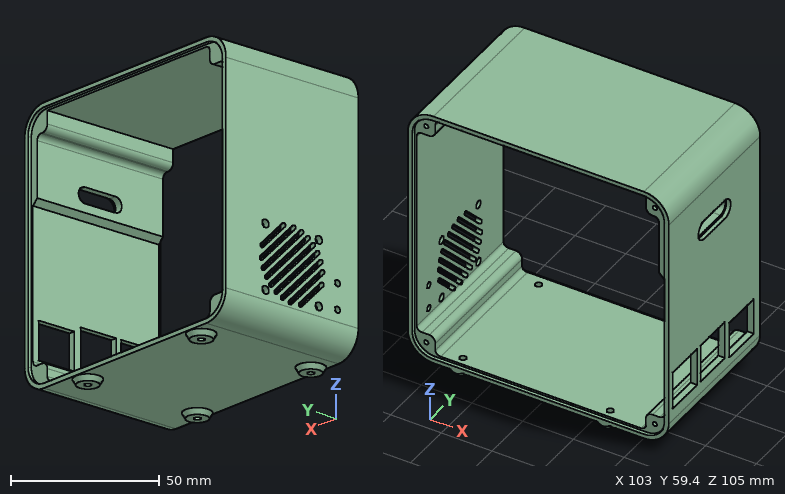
import cadquery as cq
import math

side = 103.0
depth = 59.4
corner_radius = 10.0
wall = 2.6
half = side / 2
front_y = -depth / 2
inner_half = half - wall

seat_inset = 1.8
seat_depth = 1.5

rail_size = 10.0
rail_round = 2.5
rail_root_round = 2.0
rail_edge = half - rail_size
rail_top_of_lower = rail_size
rail_bottom_of_upper = side - rail_size
screw_inset = 6.4
screw_diameter = 1.7
screw_depth = 10.0

band_thickness = 4.8
band_x = half - band_thickness
band_bottom = 68.0
band_slope = band_thickness - wall

socket_length = 19.3
socket_height = 5.9
socket_z = 76.5
socket_recess_depth = 1.7
socket_recess_margin = 0.8

fan_z = 25.5
fan_hole_spacing = 23.9
fan_hole_diameter = 2.9
grille_radius = 14.4
grille_pitch = 3.0
grille_slot_width = 1.5
grille_slot_count = 9
grille_angle = 45

side_hole_y = -20.4
side_hole_heights = (14.4, 23.9)
side_hole_diameter = 2.3

window_width = 15.9
windows = (
    (-19.2, 14.6, 15.0),
    (-1.2, 14.6, 15.0),
    (17.6, 13.0, 14.4),
)

foot_height = 2.0
foot_top_radius = 5.2
foot_bottom_radius = 4.1
foot_hole_diameter = 2.5
feet_x = (-32.5, 25.5)
feet_y = (-25.0, 24.2)


def bar(x0, x1, z0, z1, y0=front_y, length=depth):
    """Box between the given X and Z limits, running along +Y from y0."""
    return cq.Workplane("XY").box(x1 - x0, length, z1 - z0, centered=False).translate((x0, y0, z0))


def rounded_block(inset, length):
    """Rounded square block starting at the front, set in from the outer faces."""
    block = bar(-half + inset, half - inset, inset, side - inset, length=length)
    return block.edges("|Y").fillet(corner_radius - inset)


def round_along_y(solid, x, z, radius):
    """Fillet the edge that runs along Y at the given X and Z."""
    reach = 0.1
    picker = cq.selectors.BoxSelector((x - reach, -depth, z - reach), (x + reach, depth, z + reach))
    return solid.edges(picker).fillet(radius)


def cavity():
    """Space inside the tube, leaving out the corner rails and the thickened band."""
    space = bar(-inner_half, inner_half, wall, side - wall)
    for x0 in (-half, rail_edge):
        for z0 in (0, rail_bottom_of_upper):
            space = space.cut(bar(x0, x0 + rail_size, z0, z0 + rail_size))

    band = (
        cq.Workplane("XZ", origin=(0, front_y, 0))
        .moveTo(half, band_bottom)
        .lineTo(inner_half, band_bottom)
        .lineTo(band_x, band_bottom + band_slope)
        .lineTo(band_x, rail_bottom_of_upper)
        .lineTo(half, rail_bottom_of_upper)
        .close()
        .extrude(-depth)
    )
    space = space.cut(band)

    for x in (-rail_edge, rail_edge):
        for z in (rail_top_of_lower, rail_bottom_of_upper):
            space = round_along_y(space, x, z, rail_round)

    rail_roots = (
        (-inner_half, rail_top_of_lower),
        (inner_half, rail_top_of_lower),
        (-inner_half, rail_bottom_of_upper),
        (band_x, rail_bottom_of_upper),
        (-rail_edge, wall),
        (rail_edge, wall),
        (-rail_edge, side - wall),
    )
    for x, z in rail_roots:
        space = round_along_y(space, x, z, rail_root_round)
    return space


def cover_seats():
    seat = rounded_block(seat_inset, seat_depth)
    return seat.union(seat.translate((0, depth - seat_depth, 0)))


def rail_screw_holes():
    """Blind holes into the front ends of the rails."""
    spacing = side - 2 * screw_inset
    return (
        cq.Workplane("XZ", origin=(0, front_y, half))
        .rect(spacing, spacing, forConstruction=True)
        .vertices()
        .circle(screw_diameter / 2)
        .extrude(-(seat_depth + screw_depth))
    )


def grille():
    """Slanted round-ended slots whose lengths follow a circle."""
    slots = cq.Workplane("YZ")
    for i in range(grille_slot_count):
        offset = (i - (grille_slot_count - 1) / 2) * grille_pitch
        length = 2 * math.sqrt(grille_radius**2 - offset**2)
        slot = cq.Workplane("YZ", origin=(-half, 0, offset)).slot2D(length, grille_slot_width)
        slots = slots.add(slot.extrude(wall))
    slanted = slots.combine().rotate((0, 0, 0), (1, 0, 0), -grille_angle)
    return slanted.translate((0, 0, fan_z))


def fan_screw_holes():
    return (
        cq.Workplane("YZ", origin=(-half, 0, fan_z))
        .rect(fan_hole_spacing, fan_hole_spacing, forConstruction=True)
        .vertices()
        .circle(fan_hole_diameter / 2)
        .extrude(wall)
    )


def side_holes():
    spots = [(side_hole_y, z) for z in side_hole_heights]
    face = cq.Workplane("YZ", origin=(-half, 0, 0))
    return face.pushPoints(spots).circle(side_hole_diameter / 2).extrude(wall)


def socket_opening():
    opening = cq.Workplane("YZ", origin=(band_x, 0, socket_z)).slot2D(socket_length, socket_height)
    recess = cq.Workplane("YZ", origin=(half - socket_recess_depth, 0, socket_z)).slot2D(
        socket_length + 2 * socket_recess_margin, socket_height + 2 * socket_recess_margin
    )
    return opening.extrude(band_thickness).union(recess.extrude(socket_recess_depth))


def foot():
    """One foot, centred on X = Y = 0 under the floor."""
    cone = cq.Workplane("XY", origin=(0, 0, -foot_height)).circle(foot_bottom_radius)
    return cone.workplane(offset=foot_height).circle(foot_top_radius).loft()


def foot_hole():
    hole = cq.Workplane("XY", origin=(0, 0, -foot_height)).circle(foot_hole_diameter / 2)
    return hole.extrude(foot_height + wall)


body = rounded_block(0, depth)
body = body.cut(cavity()).cut(cover_seats()).cut(rail_screw_holes())
body = body.cut(grille()).cut(fan_screw_holes()).cut(side_holes())
body = body.cut(socket_opening())

for y, bottom, height in windows:
    y0 = y - window_width / 2
    body = body.cut(bar(inner_half, half, bottom, bottom + height, y0, window_width))

foot_limits = bar(-half, half, -foot_height, 0)
for x in feet_x:
    for y in feet_y:
        body = body.union(foot().translate((x, y, 0)).intersect(foot_limits))
        body = body.cut(foot_hole().translate((x, y, 0)))

result = body